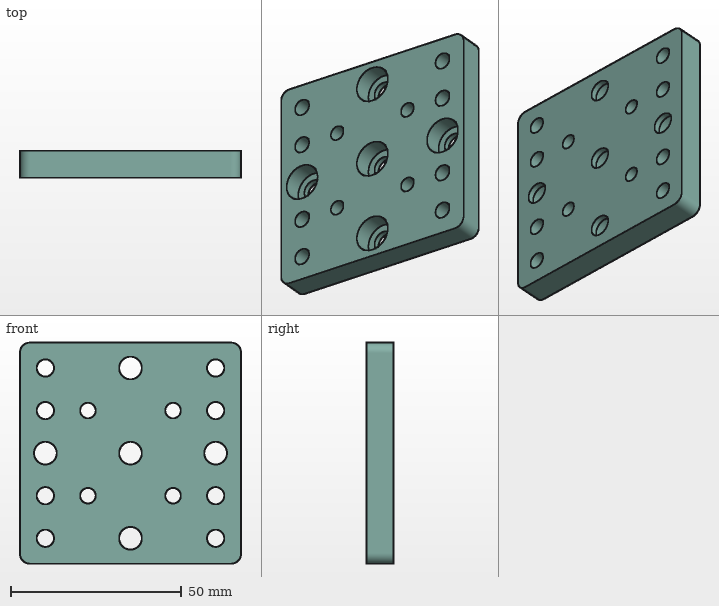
import cadquery as cq

plate_side = 65.0
plate_thickness = 8.0
corner_radius = 3.0

outer_offset = 25.0
inner_offset = outer_offset / 2

large_diameter = 6.6
edge_diameter = 5.0
inner_diameter = 4.5

counterbore_diameter = 11.0
counterbore_depth = 6.0


def make_plate():
    """Square plate with rounded corners, centred on the origin."""
    return (
        cq.Workplane("XY")
        .box(plate_side, plate_thickness, plate_side)
        .edges("|Y")
        .fillet(corner_radius)
    )


def through_holes(points, diameter):
    """Cylinders along Y that pass through the plate at the given (x, z) points."""
    return (
        cq.Workplane("XZ")
        .pushPoints(points)
        .circle(diameter / 2)
        .extrude(plate_thickness, both=True)
    )


def counterbores(points):
    """Cylinders that sink counterbore_depth into the +Y face at the given (x, z) points."""
    return (
        cq.Workplane("XZ", origin=(0, plate_thickness / 2, 0))
        .pushPoints(points)
        .circle(counterbore_diameter / 2)
        .extrude(counterbore_depth)
    )


signs = (-1, 1)

large_points = [(0, 0)]
for sign in signs:
    large_points.append((sign * outer_offset, 0))
    large_points.append((0, sign * outer_offset))

edge_points = [
    (x_sign * outer_offset, z_sign * height)
    for x_sign in signs
    for z_sign in signs
    for height in (inner_offset, outer_offset)
]

inner_points = [
    (x_sign * inner_offset, z_sign * inner_offset)
    for x_sign in signs
    for z_sign in signs
]

result = make_plate()
result = result.cut(through_holes(large_points, large_diameter))
result = result.cut(counterbores(large_points))
result = result.cut(through_holes(edge_points, edge_diameter))
result = result.cut(through_holes(inner_points, inner_diameter))